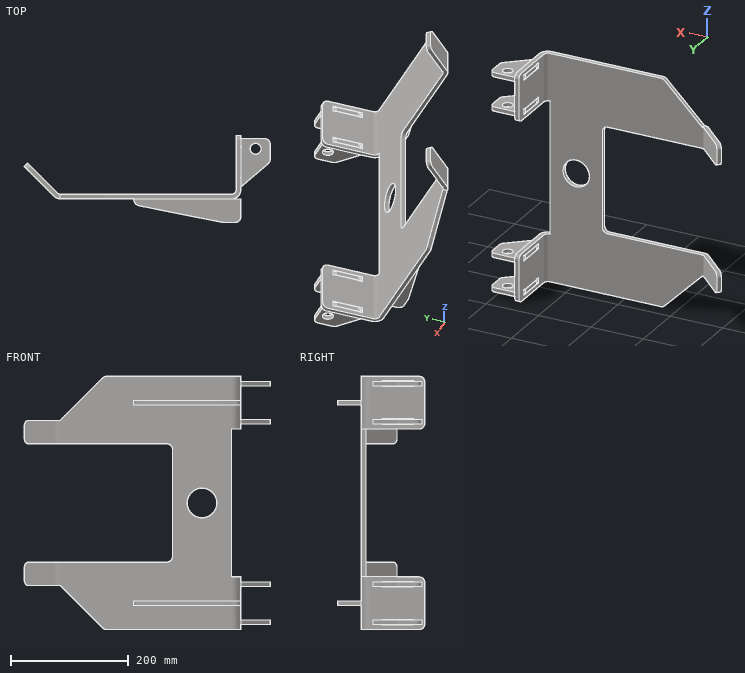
import cadquery as cq
import math


height = 430.0
sheet = 8.0
flange_reach = 108.0
flange_width = 90.0
flange_bend_radius = 16.0
corner_radius = 10.0

finger_inner_z = 100.0
finger_width = 40.0
hook_tip_x = -367.5
hook_bend_x = -306.5
hook_bend_radius = 14.0
hook_angle = math.radians(45)

web_width = 100.0
web_hole_diameter = 50.0

gusset_length = 182.0
gusset_depth = 40.0
gusset_tip_depth = 10.0
gusset_flat = 30.5
gusset_tip_radius = 11.5
plate_thickness = 8.0

lug_reach = 50.0
lug_spacing = 64.5
lug_top_y = flange_reach - 5.0
lug_side_bottom_y = 62.8
lug_root_y = 20.0
lug_hole_x = 25.0
lug_hole_y = 85.0
lug_hole_diameter = 18.0

slot_bottom_y = 35.5
slot_top_y = 89.0
slot_clearance = 0.5
tab_chamfer = 5.0

half_height = height / 2
finger_outer_z = finger_inner_z + finger_width
shoulder_x = hook_bend_x + half_height - finger_outer_z
web_edge_x = -flange_bend_radius
opening_x = web_edge_x - web_width
flange_center_z = half_height - flange_width / 2
flange_inner_z = half_height - flange_width
slot_center_y = (slot_top_y + slot_bottom_y) / 2
side_signs = (-1, 1)
lug_levels = [
    side * flange_center_z + offset * lug_spacing / 2
    for side in side_signs
    for offset in side_signs
]


def sheet_profile():
    """Bent section in XY: hook, flat web and flange, one sheet thickness throughout."""
    sin_hook = math.sin(hook_angle)
    cos_hook = math.cos(hook_angle)
    hook_length = (hook_bend_x - hook_bend_radius * sin_hook - hook_tip_x) / cos_hook

    def hook_point(radius, angle):
        return (hook_bend_x - radius * math.sin(angle), hook_bend_radius - radius * math.cos(angle))

    def flange_point(radius, angle):
        return (
            -flange_bend_radius + radius * math.sin(angle),
            flange_bend_radius - radius * math.cos(angle),
        )

    def hook_tip(radius):
        x, y = hook_point(radius, hook_angle)
        return (x - hook_length * cos_hook, y + hook_length * sin_hook)

    hook_inner = hook_bend_radius - sheet
    flange_inner = flange_bend_radius - sheet
    right_angle = math.pi / 2
    return (
        cq.Workplane("XY")
        .moveTo(*hook_tip(hook_bend_radius))
        .lineTo(*hook_point(hook_bend_radius, hook_angle))
        .threePointArc(hook_point(hook_bend_radius, hook_angle / 2), hook_point(hook_bend_radius, 0))
        .lineTo(*flange_point(flange_bend_radius, 0))
        .threePointArc(
            flange_point(flange_bend_radius, right_angle / 2),
            flange_point(flange_bend_radius, right_angle),
        )
        .lineTo(0, flange_reach)
        .lineTo(-sheet, flange_reach)
        .lineTo(*flange_point(flange_inner, right_angle))
        .threePointArc(flange_point(flange_inner, right_angle / 2), flange_point(flange_inner, 0))
        .lineTo(*hook_point(hook_inner, 0))
        .threePointArc(hook_point(hook_inner, hook_angle / 2), hook_point(hook_inner, hook_angle))
        .lineTo(*hook_tip(hook_inner))
        .close()
    )


def bracket_outline():
    """Front outline in XZ: two sloped arms with fingers, opening, and a flange at each end."""
    upper = [
        (opening_x, finger_inner_z),
        (hook_tip_x, finger_inner_z),
        (hook_tip_x, finger_outer_z),
        (hook_bend_x, finger_outer_z),
        (shoulder_x, half_height),
        (0, half_height),
        (0, flange_inner_z),
        (web_edge_x, flange_inner_z),
    ]
    lower = [(x, -z) for x, z in reversed(upper)]
    outline = (
        cq.Workplane("XZ", origin=(0, flange_reach, 0))
        .polyline(upper + lower)
        .close()
        .extrude(flange_reach)
    )
    rounded_corners = [(opening_x, finger_inner_z), (shoulder_x, half_height)]
    for x, z in rounded_corners:
        for side in side_signs:
            corner = cq.selectors.NearestToPointSelector((x, flange_reach / 2, side * z))
            outline = outline.edges("|Y").edges(corner).fillet(corner_radius)
    return outline


def make_bracket():
    sheet_body = sheet_profile().extrude(half_height, both=True)
    body = sheet_body.intersect(bracket_outline())

    body = body.faces(">Y").edges("|X").fillet(corner_radius)
    tip_direction = cq.Vector(-math.cos(hook_angle), math.sin(hook_angle), 0)
    tip_edges = cq.selectors.ParallelDirSelector(
        cq.Vector(math.sin(hook_angle), math.cos(hook_angle), 0)
    )
    tip_faces = cq.selectors.DirectionMinMaxSelector(tip_direction)
    body = body.faces(tip_faces).edges(tip_edges).fillet(corner_radius)

    hole = (
        cq.Workplane("XZ")
        .center(web_edge_x - web_width / 2, 0)
        .circle(web_hole_diameter / 2)
        .extrude(-sheet)
    )
    body = body.cut(hole)

    slot_height = plate_thickness + 2 * slot_clearance
    for z in lug_levels:
        slot = (
            cq.Workplane("XY")
            .box(sheet, slot_top_y - slot_bottom_y, slot_height)
            .translate((-sheet / 2, slot_center_y, z))
        )
        body = body.cut(slot)
    return body


def make_gusset(z):
    """Tapered rib under the web, centred on height z."""
    return (
        cq.Workplane("XY", origin=(0, 0, z))
        .polyline([
            (0, 0),
            (-gusset_length, 0),
            (-gusset_length, -gusset_tip_depth),
            (-gusset_flat, -gusset_depth),
            (0, -gusset_depth),
        ])
        .close()
        .extrude(plate_thickness / 2, both=True)
        .edges("|Z and <Y")
        .fillet(corner_radius)
        .edges(cq.selectors.NearestToPointSelector((-gusset_length, -gusset_tip_depth, z)))
        .fillet(gusset_tip_radius)
    )


def make_lug(z):
    """Lug with a cross hole and a chamfered tab that fits the flange slot at height z."""
    plate = (
        cq.Workplane("XY", origin=(0, 0, z))
        .polyline([
            (0, lug_root_y),
            (lug_reach, lug_side_bottom_y),
            (lug_reach, lug_top_y),
            (0, lug_top_y),
        ])
        .close()
        .extrude(plate_thickness / 2, both=True)
        .edges("|Z and >X")
        .fillet(corner_radius)
    )
    tab_length = slot_top_y - slot_bottom_y - 2 * slot_clearance
    tab = (
        cq.Workplane("XY")
        .box(sheet, tab_length, plate_thickness)
        .edges("|Z and <X")
        .chamfer(tab_chamfer)
        .translate((-sheet / 2, slot_center_y, z))
    )
    hole = (
        cq.Workplane("XY", origin=(lug_hole_x, lug_hole_y, z))
        .circle(lug_hole_diameter / 2)
        .extrude(plate_thickness / 2, both=True)
    )
    return plate.union(tab).cut(hole)


bracket = make_bracket()
gussets = [make_gusset(side * flange_center_z) for side in side_signs]
lugs = [make_lug(z) for z in lug_levels]

result = cq.Compound.makeCompound(
    [bracket.solids().val()]
    + [gusset.solids().val() for gusset in gussets]
    + [lug.solids().val() for lug in lugs]
)